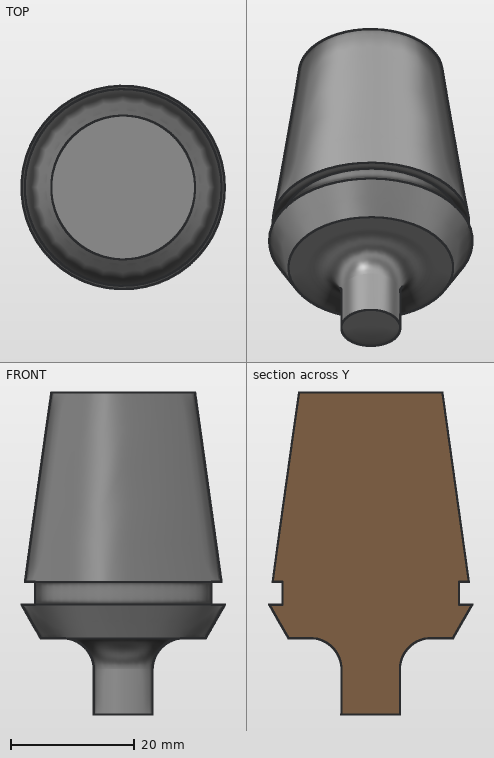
import cadquery as cq

stem_top = 7.4
flare_radius = 5.0
collar_bottom = stem_top + flare_radius
collar_top = 17.9
cone_bottom = 21.6
total_height = 52.4

stem_diameter = 9.6
collar_bottom_diameter = 26.8
collar_top_diameter = 33.1
neck_diameter = 28.8
cone_bottom_diameter = 32.0
cone_top_diameter = 23.4


def make_stem():
    """Straight stem that flares out through a concave quarter round to the collar."""
    stem_radius = stem_diameter / 2
    flare_outer = stem_radius + flare_radius
    outline = (
        cq.Workplane("XZ")
        .lineTo(stem_radius, 0)
        .lineTo(stem_radius, stem_top)
        .radiusArc((flare_outer, collar_bottom), flare_radius)
        .lineTo(0, collar_bottom)
        .close()
    )
    return outline.revolve(360, (0, 0, 0), (0, 1, 0))


def make_frustum(bottom, top, bottom_diameter, top_diameter):
    """Round section along Z, tapered when its two diameters differ."""
    outline = (
        cq.Workplane("XZ")
        .moveTo(0, bottom)
        .lineTo(bottom_diameter / 2, bottom)
        .lineTo(top_diameter / 2, top)
        .lineTo(0, top)
        .close()
    )
    return outline.revolve(360, (0, 0, 0), (0, 1, 0))


stem = make_stem()
collar = make_frustum(collar_bottom, collar_top, collar_bottom_diameter, collar_top_diameter)
neck = make_frustum(collar_top, cone_bottom, neck_diameter, neck_diameter)
cone = make_frustum(cone_bottom, total_height, cone_bottom_diameter, cone_top_diameter)

result = stem.union(collar).union(neck).union(cone)